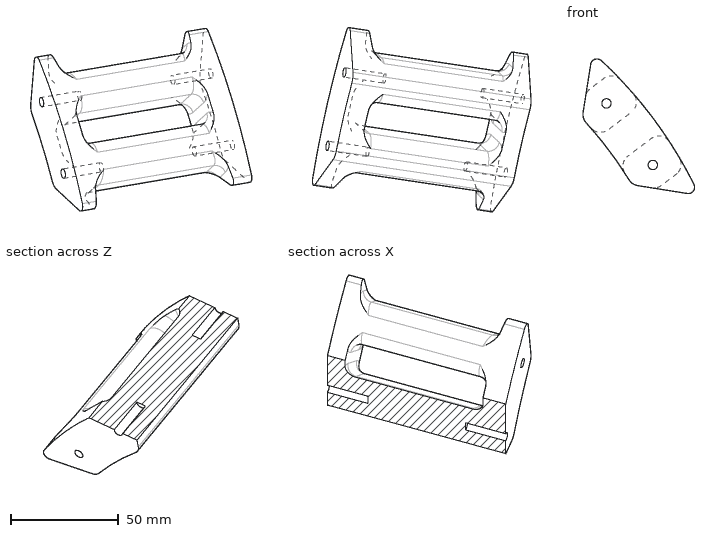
import cadquery as cq
import math

width = 88.9
outer_radius = 202.7
inner_radius = 177.3
slot_axis_angle = 37.0
upper_tip_angle = 10.0
lower_tip_angle = 10.4
tip_radius = 3.0
corner_radius = 5.9
upper_wall_angle = 44.0
lower_wall_angle = 46.0

slot_half_height = 7.65
tip_floor_height = 27.9
rib_round = 6.05
pocket_half_length = 34.3
pocket_offset = -1.25
pocket_end_round = 5.0
tip_end_draft = 10.0

bolt_diameter = 4.4
bolt_depth = 20.0
bolt_circle_radius = 190.3
bolt_half_angle = 5.4

run_on = 10.7
release_radius = 133.35
tip_reach = 53.3


def polar(radius, degrees):
    angle = math.radians(degrees)
    return (radius * math.cos(angle), radius * math.sin(angle))


def shift(point, distance, degrees):
    step = polar(distance, degrees)
    return (point[0] + step[0], point[1] + step[1])


def extrude_across(sketch, half_length):
    """Extrude a profile symmetrically across the width."""
    return sketch.extrude(half_length, both=True)


def wall_geometry(side, wall_angle, tip_angle):
    """Tip centre and outward wall normal (side is +1 or -1)."""
    centre = polar(outer_radius - tip_radius, side * tip_angle)
    return centre, side * (wall_angle + 90)


def wall_line_point(side, wall_angle, tip_angle):
    """Point where the end wall runs into the rounded tip."""
    centre, normal = wall_geometry(side, wall_angle, tip_angle)
    return shift(centre, tip_radius, normal)


def inner_corner(side, wall_angle, tip_angle):
    """Intersection of the end wall with the inner arc."""
    start = wall_line_point(side, wall_angle, tip_angle)
    direction = polar(1, side * wall_angle)
    along = start[0] * direction[0] + start[1] * direction[1]
    excess = start[0] ** 2 + start[1] ** 2 - inner_radius ** 2
    travel = along - math.sqrt(along ** 2 - excess)
    return shift(start, -travel, side * wall_angle)


def make_body():
    def tip_points(side, wall_angle, tip_angle):
        centre, wall_normal = wall_geometry(side, wall_angle, tip_angle)
        arc_normal = side * tip_angle
        return (
            polar(outer_radius, arc_normal),
            shift(centre, tip_radius, (arc_normal + wall_normal) / 2),
            wall_line_point(side, wall_angle, tip_angle),
        )

    upper_arc_end, upper_tip, upper_wall = tip_points(1, upper_wall_angle, upper_tip_angle)
    lower_arc_end, lower_tip, lower_wall = tip_points(-1, lower_wall_angle, lower_tip_angle)
    upper_corner = inner_corner(1, upper_wall_angle, upper_tip_angle)
    lower_corner = inner_corner(-1, lower_wall_angle, lower_tip_angle)
    profile = (
        cq.Workplane("XZ")
        .moveTo(*lower_arc_end)
        .threePointArc((outer_radius, 0), upper_arc_end)
        .threePointArc(upper_tip, upper_wall)
        .lineTo(*upper_corner)
        .threePointArc((inner_radius, 0), lower_corner)
        .lineTo(*lower_wall)
        .threePointArc(lower_tip, lower_arc_end)
        .close()
    )
    body = extrude_across(profile, width / 2)
    for x, z in (upper_corner, lower_corner):
        body = body.edges(cq.selectors.NearestToPointSelector((x, 0, z))).fillet(corner_radius)
    return body


def round_ends(cutter, path_points):
    """Round both end edges of a cutter along the listed profile points."""
    edges = []
    for x, z in path_points:
        for y in (-pocket_half_length, pocket_half_length):
            edges.extend(cutter.edges(cq.selectors.NearestToPointSelector((x, y, z))).vals())
    return cutter.newObject(edges).fillet(pocket_end_round)


def make_slot_cutter():
    """Hourglass-shaped slot whose convex rounds blend into both curved faces."""
    round_height = slot_half_height + rib_round
    outer_x = math.sqrt((outer_radius - rib_round) ** 2 - round_height ** 2)
    inner_x = math.sqrt((inner_radius + rib_round) ** 2 - round_height ** 2)
    outer_angle = math.degrees(math.atan2(round_height, outer_x))
    inner_angle = math.degrees(math.atan2(round_height, inner_x))
    release_centre = polar(inner_radius - release_radius, inner_angle)
    release_turn = math.degrees(run_on / release_radius)

    outer_centre = (outer_x, round_height)
    inner_centre = (inner_x, round_height)
    outer_edge = polar(outer_radius, outer_angle)
    inner_edge = polar(inner_radius, inner_angle)
    path = [
        shift(outer_edge, run_on, outer_angle + 90),
        outer_edge,
        shift(outer_centre, rib_round, (outer_angle - 90) / 2),
        (outer_x, slot_half_height),
        (inner_x, slot_half_height),
        shift(inner_centre, rib_round, (180 + inner_angle + 270) / 2),
        inner_edge,
        shift(release_centre, release_radius, inner_angle + release_turn / 2),
        shift(release_centre, release_radius, inner_angle + release_turn),
    ]
    low = [(x, -z) for x, z in path]
    clear_outer = outer_radius + run_on
    clear_inner = inner_radius - 2 * run_on
    profile = (
        cq.Workplane("XZ")
        .moveTo(*path[0])
        .lineTo(*path[1])
        .threePointArc(path[2], path[3])
        .lineTo(*path[4])
        .threePointArc(path[5], path[6])
        .threePointArc(path[7], path[8])
        .lineTo(clear_inner, path[8][1])
        .lineTo(clear_inner, low[8][1])
        .lineTo(*low[8])
        .threePointArc(low[7], low[6])
        .threePointArc(low[5], low[4])
        .lineTo(*low[3])
        .threePointArc(low[2], low[1])
        .lineTo(*low[0])
        .lineTo(clear_outer, low[0][1])
        .lineTo(clear_outer, path[0][1])
        .close()
    )
    cutter = extrude_across(profile, pocket_half_length)
    middle = (outer_x + inner_x) / 2
    floors = [(middle, slot_half_height), (middle, -slot_half_height)]
    return round_ends(cutter, floors)


def make_tip_cutter(side, wall_angle, tip_angle):
    """Cut that removes one tip down to a rounded rib, with drafted ends."""
    round_height = tip_floor_height - rib_round
    outer_x = math.sqrt((outer_radius - rib_round) ** 2 - round_height ** 2)
    outer_angle = math.degrees(math.atan2(round_height, outer_x))
    outer_centre = (outer_x, round_height)
    outer_edge = polar(outer_radius, outer_angle)

    wall_normal = wall_angle + 90
    wall_point = wall_line_point(1, wall_angle, tip_angle)
    normal = polar(1, wall_normal)
    wall_offset = wall_point[0] * normal[0] + wall_point[1] * normal[1] - rib_round
    wall_x = (wall_offset - round_height * normal[1]) / normal[0]
    wall_centre = (wall_x, round_height)
    wall_edge = shift(wall_centre, rib_round, wall_normal)

    outer_start = shift(outer_edge, run_on, outer_angle - 90)
    outer_clear = shift(outer_start, run_on, outer_angle)
    wall_end = shift(wall_edge, -run_on, wall_angle)
    wall_clear = shift(wall_end, run_on, wall_normal)
    profile = (
        cq.Workplane("XZ")
        .moveTo(*outer_start)
        .lineTo(*outer_edge)
        .threePointArc(shift(outer_centre, rib_round, (outer_angle + 90) / 2), (outer_x, tip_floor_height))
        .lineTo(wall_x, tip_floor_height)
        .threePointArc(shift(wall_centre, rib_round, (wall_normal + 90) / 2), wall_edge)
        .lineTo(*wall_end)
        .lineTo(*wall_clear)
        .lineTo(wall_clear[0], tip_reach)
        .lineTo(outer_clear[0], tip_reach)
        .lineTo(*outer_clear)
        .close()
    )
    slope = math.tan(math.radians(tip_end_draft))
    top_half = pocket_half_length + (tip_reach - tip_floor_height) * slope
    base_half = pocket_half_length - tip_floor_height * slope
    drafted_block = (
        cq.Workplane("YZ")
        .polyline([(-base_half, 0), (base_half, 0), (top_half, tip_reach), (-top_half, tip_reach)])
        .close()
        .extrude(outer_radius + 3 * run_on)
    )
    cutter = extrude_across(profile, width).intersect(drafted_block)
    floor = [((wall_x + outer_x) / 2, tip_floor_height)]
    cutter = round_ends(cutter, floor)
    return cutter if side > 0 else cutter.mirror("XY")


def make_bolt_holes():
    """Blind holes into both end faces, centred on the ribs."""
    centres = [polar(bolt_circle_radius, side * bolt_half_angle) for side in (1, -1)]
    holes = cq.Workplane("XZ").pushPoints(centres).circle(bolt_diameter / 2)
    rods = extrude_across(holes, width / 2)
    core_length = width - 2 * bolt_depth
    core = cq.Workplane("XY").box(3 * outer_radius, core_length, 3 * outer_radius)
    return rods.cut(core)


part = make_body()
cutters = (
    make_slot_cutter(),
    make_tip_cutter(1, upper_wall_angle, upper_tip_angle),
    make_tip_cutter(-1, lower_wall_angle, lower_tip_angle),
)
for cutter in cutters:
    part = part.cut(cutter.translate((0, pocket_offset, 0)))
part = part.cut(make_bolt_holes())
result = part.rotate((0, 0, 0), (0, 1, 0), -slot_axis_angle)